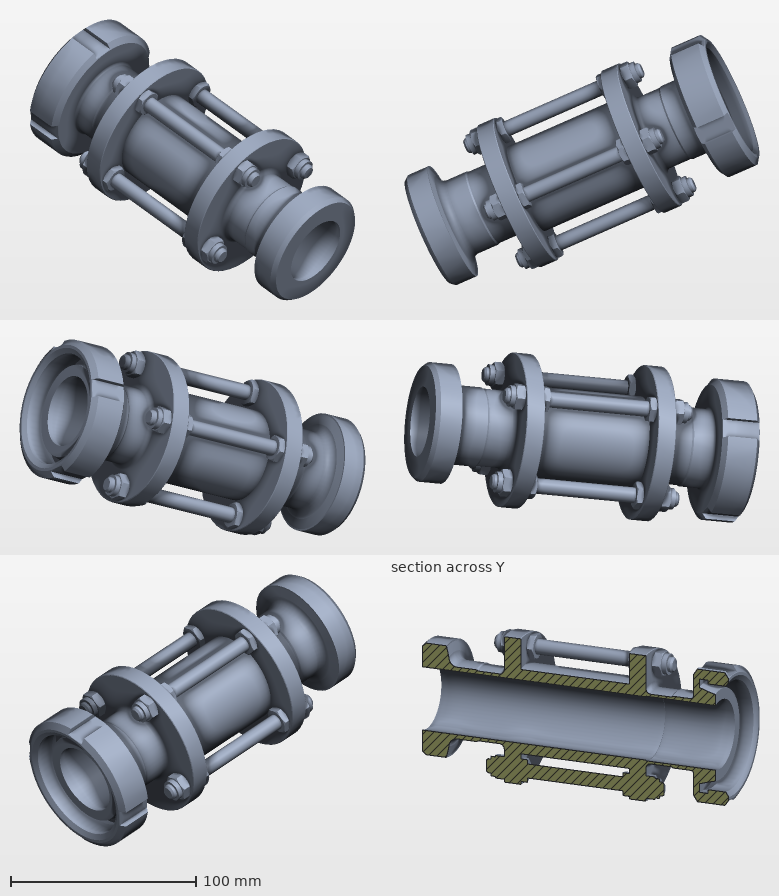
import cadquery as cq
import math

total_length = 181.0
bore_radius = 19.0
left_bore_radius = 19.4

nut_length = 21.0
nut_radius = 38.4
nut_face_radius = 35.0
nut_chamfer = 2.4
nut_floor_depth = 17.4
thread_depth = 12.5
thread_relief_radius = 65.3 / 2
thread_mouth_depth = 1.8
thread_minor_radius = 30.5
thread_mouth_radius = 33.3
slot_width = 10.3
slot_floor_radius = 35.1
slot_count = 4

liner_face_x = 7.8
liner_face_radius = 25.5
liner_base_radius = 28.2

fitting_neck_radius = 21.5
flange_neck_radius = 21.0
step_length = 0.9
left_step_x = 33.0
right_step_x = 148.0
neck_fillet = 2.5
collar_fillet = 1.5

flange_radius = 42.0
flange_thickness = 10.1
flange_chamfer = 0.4
left_flange_x = 48.9
right_flange_x = 122.7
tube_radius = 25.0

male_radius = 65.0 / 2
male_start_x = 166.5
male_back_x = 165.3
male_flare_radius = 4.7
male_edge_drop = 0.9
male_chamfer_length = 2.4

rod_count = 4
rod_circle_radius = 34.0
rod_angle = 13.0
rod_radius = 8.5 / 2
rod_tip_radius = 3.3
rod_tip_chamfer = 1.0
rod_start_x = 38.2
rod_end_x = 143.4
hex_flats = 13.0
hex_chamfer_angle = 35.0
hex_corner_radius = hex_flats / math.sqrt(3)
jam_nut_height = 3.8
lock_nut_height = 5.2
nut_turn = 3.0
left_jam_nut_turn = 9.0
lock_collar_radius = 11.5 / 2
lock_collar_height = 2.7


def revolve_about_x(profile):
    """Turn a closed (x, radius) profile around the X axis."""
    return profile.close().revolve(360, (0, 0, 0), (1, 0, 0))


def cylinder(start_x, length, radius):
    return cq.Workplane("YZ", origin=(start_x, 0, 0)).circle(radius).extrude(length)


def fillet_middle(face_x, neck_radius, fillet, side):
    """Middle of a concave quarter arc from a face to a neck lying on its +X (1) or -X (-1) side."""
    offset = fillet * (1 - math.sqrt(0.5))
    return (face_x + side * offset, neck_radius + offset)


def union_nut():
    body = revolve_about_x(
        cq.Workplane("XY")
        .moveTo(0, thread_mouth_radius)
        .lineTo(0, nut_face_radius)
        .lineTo(nut_chamfer, nut_radius)
        .lineTo(nut_length - nut_chamfer, nut_radius)
        .lineTo(nut_length, nut_face_radius)
        .lineTo(nut_length, 0)
        .lineTo(nut_floor_depth, 0)
        .lineTo(nut_floor_depth, thread_relief_radius)
        .lineTo(thread_depth, thread_relief_radius)
        .lineTo(thread_depth, thread_minor_radius)
        .lineTo(thread_mouth_depth, thread_minor_radius)
    )
    for index in range(slot_count):
        slot = (
            cq.Workplane("XY")
            .box(nut_length, slot_width, nut_radius, centered=(False, True, False))
            .translate((0, 0, slot_floor_radius))
            .rotate((0, 0, 0), (1, 0, 0), index * 360 / slot_count)
        )
        body = body.cut(slot)
    return body


def left_fitting():
    """Cone liner and the stepped neck running up to the left flange."""
    return revolve_about_x(
        cq.Workplane("XY")
        .moveTo(liner_face_x, 0)
        .lineTo(liner_face_x, liner_face_radius)
        .lineTo(nut_floor_depth, liner_base_radius)
        .lineTo(nut_length, liner_base_radius)
        .lineTo(nut_length, fitting_neck_radius + collar_fillet)
        .threePointArc(
            fillet_middle(nut_length, fitting_neck_radius, collar_fillet, 1),
            (nut_length + collar_fillet, fitting_neck_radius),
        )
        .lineTo(left_step_x, fitting_neck_radius)
        .lineTo(left_step_x + step_length, flange_neck_radius)
        .lineTo(left_flange_x - neck_fillet, flange_neck_radius)
        .threePointArc(
            fillet_middle(left_flange_x, flange_neck_radius, neck_fillet, -1),
            (left_flange_x, flange_neck_radius + neck_fillet),
        )
        .lineTo(left_flange_x, 0)
    )


def right_fitting():
    """Stepped neck behind the right flange and the flared male end."""
    neck_x = right_flange_x + flange_thickness
    return revolve_about_x(
        cq.Workplane("XY")
        .moveTo(neck_x, 0)
        .lineTo(neck_x, flange_neck_radius + neck_fillet)
        .threePointArc(
            fillet_middle(neck_x, flange_neck_radius, neck_fillet, 1),
            (neck_x + neck_fillet, flange_neck_radius),
        )
        .lineTo(right_step_x, flange_neck_radius)
        .lineTo(right_step_x + step_length, fitting_neck_radius)
        .lineTo(male_back_x - male_flare_radius, fitting_neck_radius)
        .threePointArc(
            fillet_middle(male_back_x, fitting_neck_radius, male_flare_radius, -1),
            (male_back_x, fitting_neck_radius + male_flare_radius),
        )
        .lineTo(male_start_x, male_radius - male_edge_drop)
        .lineTo(male_start_x, male_radius)
        .lineTo(total_length - male_chamfer_length, male_radius)
        .lineTo(total_length, thread_minor_radius)
        .lineTo(total_length, 0)
    )


def flange(start_x):
    return cylinder(start_x, flange_thickness, flange_radius).edges().chamfer(flange_chamfer)


def hex_nut(start_x, height, turn=nut_turn):
    """Hexagon with its corners chamfered at both ends, its top corner turned from Z by an angle."""
    corner_trim = hex_corner_radius - hex_flats / 2
    hexagon = (
        cq.Workplane("YZ", origin=(start_x, 0, 0))
        .transformed(rotate=(0, 0, 90))
        .polygon(6, 2 * hex_corner_radius)
        .extrude(height)
    )
    chamfer_height = corner_trim * math.tan(math.radians(hex_chamfer_angle))
    trim = cylinder(start_x, height, hex_corner_radius).edges().chamfer(chamfer_height, corner_trim)
    return hexagon.intersect(trim).rotate((0, 0, 0), (1, 0, 0), turn - rod_angle)


def tie_rod():
    """One rod on the X axis with its four nuts."""
    left_inner_x = left_flange_x + flange_thickness
    right_outer_x = right_flange_x + flange_thickness
    left_lock_x = left_flange_x - lock_nut_height
    right_lock_x = right_outer_x + lock_nut_height
    rod = revolve_about_x(
        cq.Workplane("XY")
        .moveTo(rod_start_x, 0)
        .lineTo(rod_start_x, rod_tip_radius)
        .lineTo(rod_start_x + rod_tip_chamfer, rod_radius)
        .lineTo(rod_end_x - rod_tip_chamfer, rod_radius)
        .lineTo(rod_end_x, rod_tip_radius)
        .lineTo(rod_end_x, 0)
    )
    return (
        rod.union(hex_nut(left_lock_x, lock_nut_height))
        .union(hex_nut(left_inner_x, jam_nut_height, left_jam_nut_turn))
        .union(hex_nut(right_flange_x - jam_nut_height, jam_nut_height))
        .union(hex_nut(right_outer_x, lock_nut_height))
        .union(cylinder(left_lock_x - lock_collar_height, lock_collar_height, lock_collar_radius))
        .union(cylinder(right_lock_x, lock_collar_height, lock_collar_radius))
    )


result = union_nut().union(left_fitting()).union(right_fitting())
result = result.union(flange(left_flange_x)).union(flange(right_flange_x))
result = result.union(cylinder(left_flange_x, right_flange_x - left_flange_x, tube_radius))

single_rod = tie_rod().translate((0, -rod_circle_radius, 0))
for index in range(rod_count):
    angle = rod_angle + index * 360 / rod_count
    result = result.union(single_rod.rotate((0, 0, 0), (1, 0, 0), angle))

result = result.cut(cylinder(0, total_length, bore_radius))
result = result.cut(cylinder(liner_face_x, left_flange_x - liner_face_x, left_bore_radius))